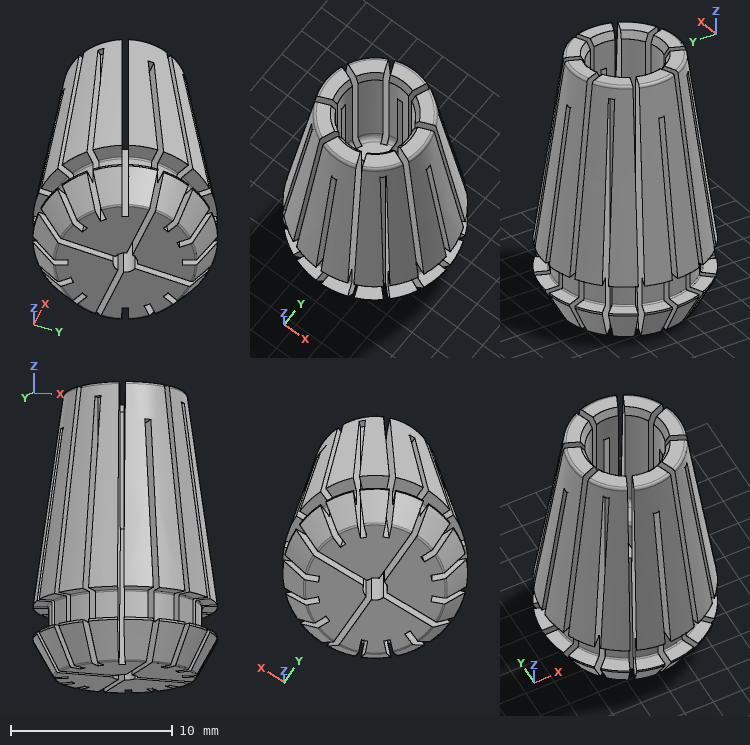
import cadquery as cq
import math

LENGTH = 18.0
MAX_RADIUS = 5.75

NOSE_RADIUS = 4.43
NOSE_RIM_BOTTOM = 2.35
NOSE_RIM_TOP = 2.5
NOSE_FILLET = 0.15

GROOVE_RADIUS = 4.75
TAPER_BOTTOM = 4.48
GROOVE_FILLET = 0.09

TAPER_ANGLE = 8.0
TAPER_SLOPE = math.tan(math.radians(TAPER_ANGLE))
TOP_RADIUS = MAX_RADIUS - (LENGTH - TAPER_BOTTOM) * TAPER_SLOPE
TOP_FILLET = 0.2

SMALL_BORE_RADIUS = 0.75
SMALL_BORE_FILLET = 0.2
LARGE_BORE_RADIUS = 2.5
LARGE_BORE_FILLET = 0.4
LARGE_BORE_FLOOR = 9.0
BORE_MOUTH_RADIUS = 2.79
BORE_MOUTH_DEPTH = 0.5

CROSS_SLOT_COUNT = 4
OPEN_SLOT_COUNT = 2 * CROSS_SLOT_COUNT
SLOT_PITCH = 360 / (2 * OPEN_SLOT_COUNT)
SLOT_WIDTH = 0.4
SLOT_FLOOR_RADIUS = 3.56
CROSS_SLOT_TOP = 15.53
BLIND_SLOT_TOP = 17.1
OPEN_SLOT_INNER_RADIUS = 2.0

CLEARANCE = 0.9
TOLERANCE = 0.002


def fillet_rim(body, radius, height, size):
    """Round the circular edge that has the given radius and height."""
    rims = [
        edge
        for edge in body.edges("%CIRCLE").vals()
        if abs(edge.radius() - radius) < TOLERANCE and abs(edge.Center().z - height) < TOLERANCE
    ]
    return body.newObject(rims).fillet(size)


def turned_body():
    """Revolved collet before slotting: nose, groove, taper and stepped bore."""
    profile = [
        (SMALL_BORE_RADIUS, 0),
        (NOSE_RADIUS, 0),
        (MAX_RADIUS, NOSE_RIM_BOTTOM),
        (MAX_RADIUS, NOSE_RIM_TOP),
        (GROOVE_RADIUS, NOSE_RIM_TOP),
        (GROOVE_RADIUS, TAPER_BOTTOM),
        (MAX_RADIUS, TAPER_BOTTOM),
        (TOP_RADIUS, LENGTH),
        (BORE_MOUTH_RADIUS, LENGTH),
        (LARGE_BORE_RADIUS, LENGTH - BORE_MOUTH_DEPTH),
        (LARGE_BORE_RADIUS, LARGE_BORE_FLOOR),
        (SMALL_BORE_RADIUS, LARGE_BORE_FLOOR),
    ]
    body = cq.Workplane("XZ").polyline(profile).close().revolve(360, (0, 0, 0), (0, 1, 0))
    body = fillet_rim(body, NOSE_RADIUS, 0, NOSE_FILLET)
    body = fillet_rim(body, GROOVE_RADIUS, NOSE_RIM_TOP, GROOVE_FILLET)
    body = fillet_rim(body, GROOVE_RADIUS, TAPER_BOTTOM, GROOVE_FILLET)
    body = fillet_rim(body, TOP_RADIUS, LENGTH, TOP_FILLET)
    body = fillet_rim(body, LARGE_BORE_RADIUS, LARGE_BORE_FLOOR, LARGE_BORE_FILLET)
    return fillet_rim(body, SMALL_BORE_RADIUS, LARGE_BORE_FLOOR, SMALL_BORE_FILLET)


def slot_cutter(bottom_radius, top_radius, top):
    """Radial blade toward +X, its inner face running from bottom_radius at z = 0 to top_radius at top."""
    outside = MAX_RADIUS + CLEARANCE
    outline = [
        (bottom_radius, 0),
        (bottom_radius, -CLEARANCE),
        (outside, -CLEARANCE),
        (outside, top),
        (top_radius, top),
    ]
    return cq.Workplane("XZ").polyline(outline).close().extrude(SLOT_WIDTH / 2, both=True)


def cut_around(body, cutter, count, first_angle):
    """Cut evenly spaced copies of the slot around the axis, starting at first_angle."""
    for index in range(count):
        angle = first_angle + index * 360 / count
        body = body.cut(cutter.rotate((0, 0, 0), (0, 0, 1), angle))
    return body


cross_slot = slot_cutter(0, 0, CROSS_SLOT_TOP)

blind_slot = slot_cutter(SLOT_FLOOR_RADIUS, SLOT_FLOOR_RADIUS, BLIND_SLOT_TOP)

floor_slope = (SLOT_FLOOR_RADIUS - OPEN_SLOT_INNER_RADIUS) / LARGE_BORE_FLOOR
open_slot_top = LENGTH + CLEARANCE
open_slot_top_radius = SLOT_FLOOR_RADIUS - floor_slope * open_slot_top
open_slot = slot_cutter(SLOT_FLOOR_RADIUS, open_slot_top_radius, open_slot_top)

result = turned_body()
result = cut_around(result, cross_slot, CROSS_SLOT_COUNT, 0)
result = cut_around(result, blind_slot, CROSS_SLOT_COUNT, SLOT_PITCH * 2)
result = cut_around(result, open_slot, OPEN_SLOT_COUNT, SLOT_PITCH)